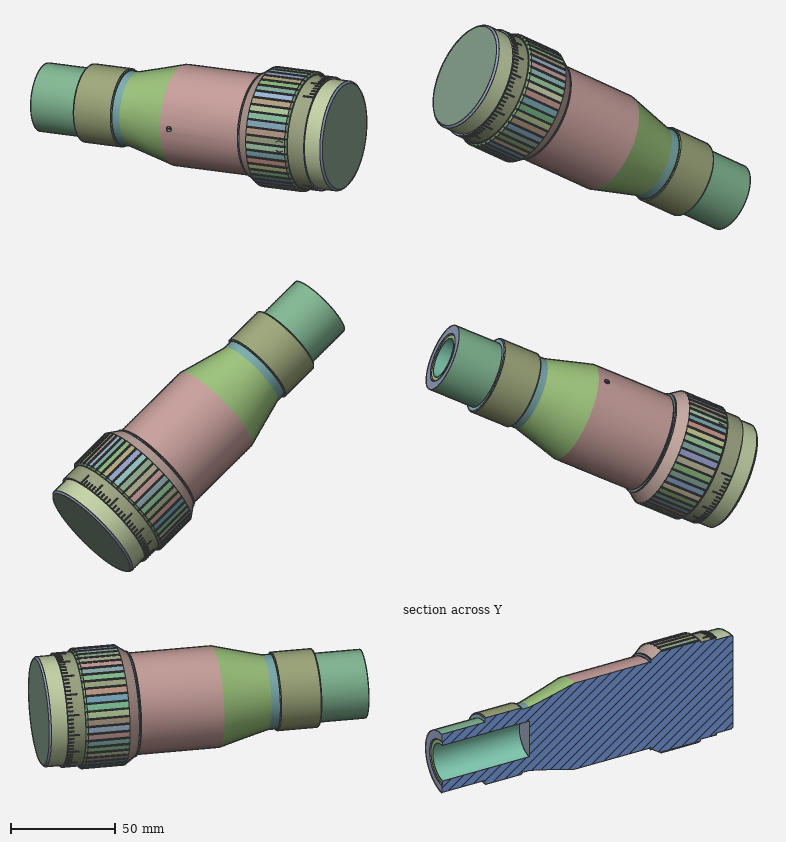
import cadquery as cq
import math

total_length = 158.0
collar_start = 23.4
collar_end = 43.6
taper_start = 47.7
taper_end = 72.0
barrel_end = 113.3
grip_start = 119.1
grip_end = 140.5
scale_ring_end = 149.0

tip_radius = 16.6
collar_radius = 19.0
neck_radius = 18.0
barrel_radius = 24.5
grip_shoulder_radius = 25.5
grip_radius = 58.0 / 2
scale_ring_radius = 27.5
end_ring_radius = 26.5

collar_chamfer = 0.5
barrel_chamfer = 0.6
shoulder_land = 0.6
grip_chamfer = 1.0
end_chamfer = 1.0

bore_radius = 10.0
bore_depth = 47.4
recess_mouth_radius = 12.3
recess_floor_radius = 11.8
recess_depth = 0.5

groove_count = 48
groove_width = 0.55
groove_depth = 0.5

tick_count = 61
tick_start_angle = -35.0
tick_step = 4.2
ticks_per_long_tick = 5
tick_width = 0.5
tick_depth = 0.24
short_tick_length = 2.7
long_tick_length = 5.5

screw_offset = 4.5
screw_radius = 1.3
screw_recess = 0.3
slot_width = 0.2
slot_depth = 0.5

cutter_overshoot = 1.6

button_x = 136.8
button_radius = 2.7
button_height = 1.6
button_drop = 0.08


def axial_slot(x_start, x_end, width, outer_radius, depth, angle):
    """Cutter for a straight slot along X, turned about X from +Z towards +Y."""
    height = depth + cutter_overshoot
    slot = cq.Workplane("XY").box(x_end - x_start, width, height, centered=(False, True, False))
    slot = slot.translate((x_start, 0, outer_radius - depth))
    return slot.rotate((0, 0, 0), (1, 0, 0), -angle).val()


def make_body():
    outline = [
        (0, 0),
        (0, tip_radius),
        (collar_start, tip_radius),
        (collar_start, collar_radius - collar_chamfer),
        (collar_start + collar_chamfer, collar_radius),
        (collar_end - collar_chamfer, collar_radius),
        (collar_end, collar_radius - collar_chamfer),
        (collar_end, neck_radius),
        (taper_start, neck_radius),
        (taper_end, barrel_radius),
        (barrel_end - barrel_chamfer, barrel_radius),
        (barrel_end, barrel_radius - barrel_chamfer),
        (barrel_end, grip_shoulder_radius),
        (barrel_end + shoulder_land, grip_shoulder_radius),
        (grip_start, grip_radius),
        (grip_end - grip_chamfer, grip_radius),
        (grip_end, grip_radius - grip_chamfer),
        (grip_end, scale_ring_radius),
        (scale_ring_end, scale_ring_radius),
        (scale_ring_end, end_ring_radius),
        (total_length - end_chamfer, end_ring_radius),
        (total_length, end_ring_radius - end_chamfer),
        (total_length, 0),
    ]
    return cq.Workplane("XY").polyline(outline).close().revolve(360, (0, 0, 0), (1, 0, 0))


def make_bore():
    outline = [
        (0, 0),
        (0, recess_mouth_radius),
        (recess_depth, recess_floor_radius),
        (recess_depth, bore_radius),
        (bore_depth, bore_radius),
        (bore_depth, 0),
    ]
    return cq.Workplane("XY").polyline(outline).close().revolve(360, (0, 0, 0), (1, 0, 0))


def make_button():
    button = cq.Workplane("XZ").circle(button_radius).extrude(button_height)
    return button.translate((button_x, button_height + button_drop - grip_radius, 0))


def make_screw_recess():
    """Recess above the screw head, with the screwdriver slot cut along X in the head."""
    screw_x = taper_end + screw_offset
    head_radius = barrel_radius - screw_recess
    hole = cq.Workplane("XZ").circle(screw_radius).extrude(screw_recess + cutter_overshoot)
    slot_length = 2 * math.sqrt(screw_radius**2 - (slot_width / 2) ** 2)
    slot = cq.Workplane("XZ").rect(slot_length, slot_width).extrude(-slot_depth)
    return hole.union(slot).translate((screw_x, -head_radius, 0))


def make_grip_grooves():
    grooves = []
    for i in range(groove_count):
        angle = i * 360 / groove_count
        grooves.append(axial_slot(grip_start, grip_end, groove_width, grip_radius, groove_depth, angle))
    return grooves


def make_scale_ticks():
    ticks = []
    for i in range(tick_count):
        length = short_tick_length
        if i % ticks_per_long_tick == 0:
            length = long_tick_length
        angle = tick_start_angle + i * tick_step
        x_start = scale_ring_end - length
        ticks.append(axial_slot(x_start, scale_ring_end, tick_width, scale_ring_radius, tick_depth, angle))
    return ticks


body = make_body().union(make_button())
body = body.cut(make_bore()).cut(make_screw_recess())
cutters = cq.Compound.makeCompound(make_grip_grooves() + make_scale_ticks())
result = body.cut(cq.Workplane(cutters))